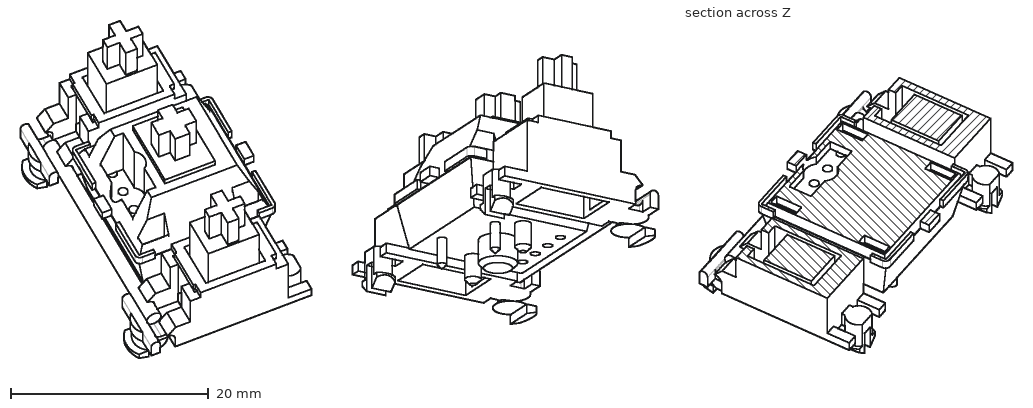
import cadquery as cq
import math


overall_length = 30.8
key_top_z = 15.2
shoulder_z = 11.6

rim_z = 5.0
rim_half = 7.48
lower_bottom_half = 6.55
upper_top_z = 11.0
upper_top_half = 4.8
upper_base_half = 7.42
clip_outer_half = 7.82
clip_height = 1.02
clip_corner_radius = 0.55
clip_gap_x_half = 2.77
clip_gap_y_half = 5.82
tab_half_width = 1.0
tab_tip_y = 8.5

window_half_width = 3.82
window_back_y = -3.85
window_front_y = -6.4
window_arc_half_width = 1.17
window_arc_y = -5.08
window_arc_back_y = -3.25
window_arc_front_y = -6.93
lead_hole_diameter = 1.0
lead_hole_xs = [-3.82, -1.25, 1.25, 3.82]

notch_inner_x = 5.73
notch_inner_y = 3.8
notch_outer = 6.75

post_z = -3.02
post_chamfer = 0.52
centre_post_diameter = 3.97
side_post_diameter = 1.7
side_post_x = 5.08
contact_diameter = 1.0
contact_shoulder_z = -2.8
contact_tip_z = -3.3
contact_places = [(-3.82, 2.53), (2.53, 5.08)]

stem_plate_x = 7.6
stem_plate_y = 5.6
cross_x = (4.07, 1.65)
cross_y = (1.8, 4.2)

stab_width = 6.85
stab_x = (overall_length - stab_width) / 2
stab_half_y = 5.48
stab_block_z = 6.62
stab_top_z = 7.4
rim_side_back_y = 4.15
rim_side_front_y = -4.35
rim_mid_back_y = 4.68
rim_mid_front_y = -4.6
rim_mid_width = 4.47
well_x = 5.08
well_y = 6.65
slot_width = 2.68
prong_top_z = 3.2
prong_bend_y = -7.1

wire_diameter = 1.6
wire_y = -8.05
wire_z = 1.4
wire_half_length = 12.2
wire_seat_radius = 0.847
seat_floor_z = wire_z - wire_seat_radius
seat_diameter = 3.97
seat_y = -8.4
bar_diameter = 1.0
bar_y = -9.35
bar_axis_z = 1.45

foot_top_z = -1.48
cone_diameter = 3.7
cone_tip_radius = 0.1
foot_half_width = 1.7
foot_arc_radius = 2.62
foot_back_y = -9.3
foot_back_z = -2.5
foot_tip_z = -1.95

arm_width = 1.17
arm_end_y = 8.1
arm_height = 1.05
pin_y = 7.05
pin_barb_diameter = 3.6
pin_diameter = 2.77
pin_flat_y = 5.88
pin_neck_width = 1.48
pin_top_z = 1.57
pin_bottom_z = -2.83
pin_split = 1.05
pin_barb_z = -1.45
pin_bevel_z = -1.65

stab_stem_width = 4.4
stab_stem_back_y = 2.8
stab_stem_front_y = -2.9
stab_stem_bottom_z = 4.05
stab_cross_x = (3.97, 1.25)
stab_cross_y = (1.05, 3.97)


def block(x0, x1, y0, y1, z0, z1):
    return cq.Workplane("XY").box(x1 - x0, y1 - y0, z1 - z0, centered=False).translate((x0, y0, z0))


def cylinder(x, y, z0, z1, diameter):
    return cq.Workplane("XY").workplane(offset=z0).center(x, y).circle(diameter / 2).extrude(z1 - z0)


def square_frustum(half0, z0, half1, z1):
    base = cq.Workplane("XY").workplane(offset=z0).rect(2 * half0, 2 * half0)
    return base.workplane(offset=z1 - z0).rect(2 * half1, 2 * half1).loft(ruled=True)


def cross(arm_x, arm_y):
    along_x = cq.Workplane("XY").workplane(offset=shoulder_z).rect(*arm_x).extrude(key_top_z - shoulder_z)
    along_y = cq.Workplane("XY").workplane(offset=shoulder_z).rect(*arm_y).extrude(key_top_z - shoulder_z)
    return along_x.union(along_y)


def corner_clips():
    """Four thin L-shaped walls standing on the edge of the parting plane."""
    top = rim_z + clip_height
    reach = clip_outer_half
    ring = block(-reach, reach, -reach, reach, rim_z, top).edges("|Z").fillet(clip_corner_radius)
    inner = upper_base_half
    ring = ring.cut(block(-inner, inner, -inner, inner, rim_z, top))
    ring = ring.cut(block(-clip_gap_x_half, clip_gap_x_half, -reach, reach, rim_z, top))
    return ring.cut(block(-reach, reach, -clip_gap_y_half, clip_gap_y_half, rim_z, top))


def make_lower_housing():
    body = square_frustum(lower_bottom_half, 0, rim_half, rim_z)
    for x in lead_hole_xs:
        body = body.cut(cylinder(x, window_arc_y, 0, rim_z, lead_hole_diameter))
    body = body.union(corner_clips())
    for near, far in ((upper_base_half, tab_tip_y), (-tab_tip_y, -upper_base_half)):
        tab = block(-tab_half_width, tab_half_width, near, far, rim_z, rim_z + clip_height)
        body = body.union(tab)
    posts = [(0, centre_post_diameter), (-side_post_x, side_post_diameter), (side_post_x, side_post_diameter)]
    for x, diameter in posts:
        body = body.union(cylinder(x, 0, post_z, 0, diameter).faces("<Z").chamfer(post_chamfer))
    for x, y in contact_places:
        body = body.union(contact(x, y))
    return body


def contact(x, y):
    """Round contact leg with a pointed tip."""
    radius = contact_diameter / 2
    profile = [(0, 0), (radius, 0), (radius, contact_shoulder_z), (0, contact_tip_z)]
    leg = cq.Workplane("XZ").polyline(profile).close().revolve(360, (0, 0, 0), (0, 1, 0))
    return leg.translate((x, y, 0))


def light_window():
    """Rectangular shaft with a bulge at the middle of its front and back."""
    shaft = block(-window_half_width, window_half_width, window_front_y, window_back_y, rim_z, upper_top_z)
    bulge = (
        cq.Workplane("XY").workplane(offset=rim_z)
        .moveTo(-window_arc_half_width, window_back_y)
        .threePointArc((0, window_arc_back_y), (window_arc_half_width, window_back_y))
        .lineTo(window_arc_half_width, window_front_y)
        .threePointArc((0, window_arc_front_y), (-window_arc_half_width, window_front_y))
        .close().extrude(upper_top_z - rim_z)
    )
    return shaft.union(bulge)


def make_upper_housing():
    body = square_frustum(upper_base_half, rim_z, upper_top_half, upper_top_z).cut(light_window())
    notch = block(notch_inner_x, notch_outer, notch_inner_y, notch_outer, rim_z, upper_top_z)
    notches = notch.union(notch.mirror("YZ"))
    return body.cut(notches).cut(notches.mirror("XZ"))


def make_switch_stem():
    plate = cq.Workplane("XY").workplane(offset=upper_top_z).rect(stem_plate_x, stem_plate_y)
    return plate.extrude(shoulder_z - upper_top_z).union(cross(cross_x, cross_y))


def stab_block():
    """Hollow block with a stepped rim, a pronged nose and a slot; the well widens forward under the rim."""
    half = stab_width / 2
    mid = rim_mid_width / 2
    slot = slot_width / 2
    body = block(-half, half, -stab_half_y, stab_half_y, 0, stab_block_z)
    body = body.union(prongs())
    body = body.union(block(-half, half, rim_side_front_y, rim_side_back_y, stab_block_z, stab_top_z))
    body = body.union(block(-mid, mid, rim_mid_front_y, rim_mid_back_y, stab_block_z, stab_top_z))
    body = body.cut(block(-well_x / 2, well_x / 2, -well_y / 2, well_y / 2, 0, stab_top_z))
    body = body.cut(block(-well_x / 2, well_x / 2, rim_mid_front_y, 0, 0, stab_block_z))
    return body.cut(block(-slot, slot, wire_y, rim_mid_front_y, 0, stab_block_z))


def prongs():
    """Full-width nose whose front is hollowed to clip over the wire."""
    bend = wire_seat_radius * math.sqrt(0.5)
    return (
        cq.Workplane("YZ").workplane(offset=-stab_width / 2)
        .moveTo(-stab_half_y, 0)
        .lineTo(-stab_half_y, prong_top_z)
        .lineTo(prong_bend_y, prong_top_z)
        .lineTo(wire_y, wire_z + wire_seat_radius)
        .threePointArc((wire_y + bend, wire_z + bend), (wire_y + wire_seat_radius, wire_z))
        .lineTo(wire_y + wire_seat_radius, 0)
        .close().extrude(stab_width)
    )


def wire_seat():
    """Round-fronted pad and slot floor with a quarter-round seat for the wire, plus the bar in front of it."""
    half = stab_width / 2
    slot = slot_width / 2
    side = seat_diameter / 2
    pad = cylinder(0, seat_y, 0, bar_axis_z, seat_diameter)
    pad = pad.union(block(-side, side, seat_y, wire_y + wire_seat_radius, 0, bar_axis_z))
    groove = cq.Workplane("YZ").workplane(offset=-half).center(wire_y, wire_z).circle(wire_seat_radius)
    pad = pad.cut(groove.extrude(stab_width))
    pad = pad.cut(block(-half, half, wire_y, -stab_half_y, seat_floor_z, bar_axis_z))
    pad = pad.union(block(-slot, slot, wire_y, rim_mid_front_y, 0, seat_floor_z))
    radius = bar_diameter / 2
    bar = block(-half, half, bar_y - radius, bar_y + radius, 0, bar_axis_z)
    crown = cq.Workplane("YZ").workplane(offset=-half).center(bar_y, bar_axis_z).circle(radius).extrude(stab_width)
    return pad.union(bar).union(crown)


def front_foot():
    """Oblique cone below the wire seat, carrying a wedge-shaped hook."""
    radius = cone_diameter / 2
    cone = (
        cq.Workplane("XY").workplane(offset=foot_top_z).center(0, seat_y).circle(radius)
        .workplane(offset=-foot_top_z).center(radius - cone_tip_radius, 0).circle(cone_tip_radius)
        .loft(ruled=True)
    )
    tip_y = seat_y - foot_arc_radius
    profile = [(foot_back_y, foot_top_z), (tip_y, foot_top_z), (tip_y, foot_tip_z), (foot_back_y, foot_back_z)]
    hook = cq.Workplane("YZ").workplane(offset=-foot_half_width).polyline(profile).close()
    hook = hook.extrude(2 * foot_half_width)
    hook = hook.intersect(cylinder(0, seat_y, foot_back_z, foot_top_z, 2 * foot_arc_radius))
    return cone.union(hook)


def split_pin():
    """Rear pin, flattened front and back and split into two legs with bevelled barbs."""
    radius = pin_barb_diameter / 2
    split = pin_split / 2
    pin = cylinder(0, pin_y, pin_bottom_z, pin_top_z, pin_diameter)
    pin = pin.union(cylinder(0, pin_y, pin_bottom_z, pin_barb_z, pin_barb_diameter))
    pin = pin.intersect(block(-stab_width, stab_width, pin_flat_y, arm_end_y, pin_bottom_z, pin_top_z))
    pin = pin.cut(block(-split, split, pin_flat_y, arm_end_y, pin_bottom_z, 0))
    corner = [(radius, pin_bevel_z), (radius, pin_bottom_z), (split, pin_bottom_z)]
    bevel = cq.Workplane("XZ").workplane(offset=-arm_end_y).polyline(corner).close()
    bevel = bevel.extrude(arm_end_y - pin_flat_y)
    pin = pin.cut(bevel).cut(bevel.mirror("YZ"))
    neck = pin_neck_width / 2
    return pin.union(block(-neck, neck, stab_half_y, pin_y, 0, pin_top_z))


def make_stab_housing(x):
    half = stab_width / 2
    body = stab_block().union(wire_seat()).union(front_foot()).union(split_pin())
    arm = block(half - arm_width, half, stab_half_y, arm_end_y, 0, arm_height)
    body = body.union(arm).union(arm.mirror("YZ"))
    return body.translate((x, 0, 0))


def make_stab_stem(x):
    half = stab_stem_width / 2
    body = block(-half, half, stab_stem_front_y, stab_stem_back_y, stab_stem_bottom_z, shoulder_z)
    return body.union(cross(stab_cross_x, stab_cross_y)).translate((x, 0, 0))


def make_wire():
    section = cq.Workplane("YZ").workplane(offset=-wire_half_length).center(wire_y, wire_z)
    return section.circle(wire_diameter / 2).extrude(2 * wire_half_length)


lower_housing = make_lower_housing()
upper_housing = make_upper_housing()
switch_stem = make_switch_stem()
wire = make_wire()

stab_housings = []
stab_stems = []
for x in (-stab_x, stab_x):
    stab_housings.append(make_stab_housing(x).val())
    stab_stems.append(make_stab_stem(x).val())

result = cq.Compound.makeCompound([
    lower_housing.val(),
    upper_housing.val(),
    switch_stem.val(),
    wire.val(),
    *stab_housings,
    *stab_stems,
])